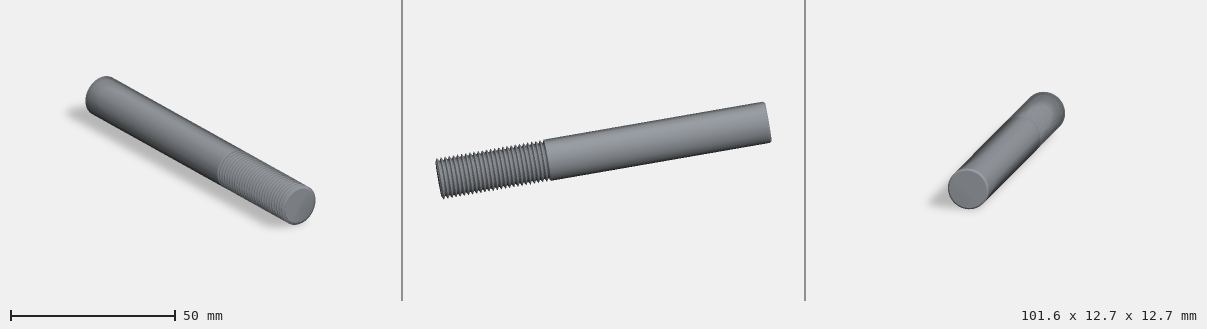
import cadquery as cq

length = 101.6
diameter = 12.7

shank_length = 68.1
end_chamfer = 0.5

crest_span = 33.0
thread_depth = 0.86
crest_width = 0.12
root_width = 0.25
ridge_count = 26

radius = diameter / 2
pitch = crest_span / ridge_count
root_radius = radius - thread_depth
flank_width = (pitch - crest_width - root_width) / 2
shank_start = -length / 2
thread_start = shank_start + shank_length


def half_profile():
    """Outline from the axis up to the surface, running from the shank end to the threaded end."""
    outline = (
        cq.Workplane("XY")
        .moveTo(shank_start, 0)
        .lineTo(shank_start, radius - end_chamfer)
        .lineTo(shank_start + end_chamfer, radius)
        .lineTo(thread_start, radius)
    )
    for ridge in range(ridge_count):
        groove_start = thread_start + ridge * pitch
        ridge_end = groove_start + pitch
        outline = (
            outline
            .lineTo(groove_start + flank_width, root_radius)
            .lineTo(groove_start + flank_width + root_width, root_radius)
            .lineTo(ridge_end - crest_width, radius)
            .lineTo(ridge_end, radius)
        )
    last_crest_end = thread_start + crest_span
    return (
        outline
        .lineTo(last_crest_end + flank_width, root_radius)
        .lineTo(length / 2, root_radius)
        .lineTo(length / 2, 0)
        .close()
    )


result = half_profile().revolve(360, (0, 0, 0), (1, 0, 0))